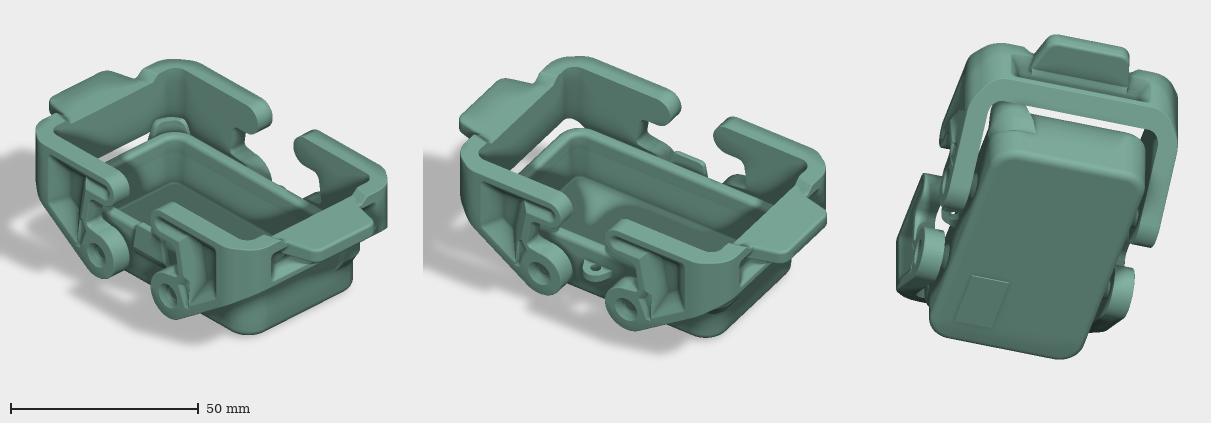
import cadquery as cq
import math

HEIGHT = 34.0
DEPTH = 58.1
HALF_SPAN = 52.5
OVERLAP = 0.3

TRAY_HALF_X = 36.5
TRAY_HALF_Y = 21.4
TRAY_CORNER = 6.9
TRAY_BOTTOM = 0.3
PARTING_Z = 12.4
RIM_Z = 17.2
TRAY_DRAFT = 1.0
BASE_ROUND = 2.1
RIM_ROUND = 1.3
WALL = 3.6
FLOOR_Z = 3.2
CAVITY_DRAFT = 4.5
CAVITY_ROUND = 0.6

PAD_X_RANGE = (10.6, 28.1)
PAD_Y_RANGE = (4.7, 15.0)

CATCH_TOP_Z = 20.2
CATCH_FOOT_Z = 9.2
CLIP_HALF_TOP = 4.8
CLIP_HALF_FOOT = 6.7
CLIP_PROJECTION = 1.7
CLIP_ROUND = 1.6
CLIP_EDGE_ROUND = 0.5
GUARD_HALF_X = 38.4
GUARD_HALF_Y = 21.9
GUARD_CORNER = 6.8
GUARD_END_X = 32.3
GUARD_END_Y = 14.4
GUARD_FLARE = 3.9
GUARD_TOP_ROUND = 1.6

EYE_Y = 22.8
EYE_RADIUS = 3.5
EYE_HOLE = 1.5
EYE_HALF_BASE = 4.6
EYE_THICKNESS = 2.1

LEVER_X = 43.6
LEVER_Y = DEPTH / 2
END_WALL = 5.0
LEG = 5.6
LEVER_CORNER_X = 7.1
LEVER_CORNER_Y = 5.0
CORNER_WALL_ROUND = 7.8
CORNER_LEG_ROUND = 6.5
LEVER_INNER_CORNER = 3.5
END_WALL_FOOT_Z = 20.6
LEVER_EDGE_ROUND = 0.3
PIVOT_X = 13.9
PIVOT_Z = 8.4
PIVOT_RADIUS = 6.9
HOOK_X = 11.2
HOOK_RADIUS = 4.4
THROAT_TOP_X = 16.5
THROAT_FOOT_X = 17.8
THROAT_FOOT_Z = 16.1
THROAT_TOP_ROUND = 2.3
THROAT_FOOT_ROUND = 1.3

STUD_BASE_RADIUS = 3.7
STUD_TIP_RADIUS = 2.5
STUD_TIP_LENGTH = 0.5
PIN_HOLE_RADIUS = 2.3
PIN_HOLE_DEPTH = 2.6
PIN_HOLE_CHAMFER = 1.3
PIN_HOLE_FLOOR_ROUND = 0.3

POCKET_DRAFT = 45.0
LEG_POCKET_DRAFT = 50.0
LEG_POCKET_DEPTH = 3.9
HOOK_POCKET_DEPTH = 1.7
TAIL_POCKET_DEPTH = 1.0
POCKET_TOP_Z = 31.9
FIELD_CORNERS = [
    (-32.5, POCKET_TOP_Z), (-17.2, POCKET_TOP_Z), (-21.4, 8.5), (-32.5, 16.1),
]
TAIL_CORNERS = [(-22.6, 16.8), (-19.5, 17.3), (-17.7, 13.9), (-20.2, 7.9), (-21.7, 7.9)]
POCKET_CORNER = 2.1
POCKET_FLOOR_ROUND = 0.8
POCKET_RIM_ROUND = 0.6
HOOK_POCKET_HEIGHT = 4.6
HOOK_POCKET_END_X = 8.7
HOOK_POCKET_START_X = 24.2
END_POCKET_HALF_Y = 19.3
END_POCKET_Z_RANGE = (22.0, 30.9)
END_POCKET_DEPTH = 2.8

TAB_TOP_Z = 32.2
TAB_TIP_Z = 28.0
TAB_ROOT_Z = 27.4
TAB_HALF_ROOT = 13.1
TAB_SLOPE = 0.25
TAB_CORNER = 3.2
TAB_ROUND = 0.8
NOTCH_CLEARANCE = 0.5
NOTCH_RUN = 2.1
NOTCH_ROUND = 1.0
GUSSET_SIZE = 1.6


def rounded_block(half_x, half_y, radius, z_low, z_high):
    block = cq.Workplane("XY").workplane(offset=z_low)
    block = block.rect(2 * half_x, 2 * half_y).extrude(z_high - z_low)
    return block.edges("|Z").fillet(radius)


def tray_outline(inset, radius):
    width = 2 * (TRAY_HALF_X - inset)
    depth = 2 * (TRAY_HALF_Y - inset)
    return cq.Sketch().rect(width, depth).vertices().fillet(radius)


def tray_shell():
    upper = rounded_block(TRAY_HALF_X, TRAY_HALF_Y, TRAY_CORNER, PARTING_Z, RIM_Z)
    lower = (
        cq.Workplane("XY").workplane(offset=PARTING_Z)
        .placeSketch(tray_outline(0, TRAY_CORNER))
        .extrude(-(PARTING_Z - TRAY_BOTTOM), taper=TRAY_DRAFT)
    )
    lower = lower.faces("<Z").edges().fillet(BASE_ROUND)
    cavity = (
        cq.Workplane("XY").workplane(offset=RIM_Z)
        .placeSketch(tray_outline(WALL, TRAY_CORNER - WALL))
        .extrude(-(RIM_Z - PARTING_Z))
    )
    cavity_base = (
        cq.Workplane("XY").workplane(offset=PARTING_Z)
        .placeSketch(tray_outline(WALL, TRAY_CORNER - WALL))
        .extrude(-(PARTING_Z - FLOOR_Z), taper=CAVITY_DRAFT)
    )
    cavity_base = cavity_base.faces("<Z").edges().fillet(CAVITY_ROUND)
    shell = upper.union(lower).cut(cavity).cut(cavity_base)
    return shell.faces(">Z").edges().fillet(RIM_ROUND)


def bottom_pad():
    x_low, x_high = PAD_X_RANGE
    y_low, y_high = PAD_Y_RANGE
    return cq.Workplane("XY").box(
        x_high - x_low, y_high - y_low, TRAY_BOTTOM + OVERLAP, centered=False
    ).translate((x_low, y_low, 0))


def front_clip():
    """Tapered plate on the -Y wall with a sloping underside."""
    y_inner = -TRAY_HALF_Y + OVERLAP
    y_outer = -TRAY_HALF_Y - CLIP_PROJECTION
    face = (
        cq.Workplane("XZ").workplane(offset=-y_inner)
        .polyline([
            (-CLIP_HALF_FOOT, CATCH_FOOT_Z),
            (CLIP_HALF_FOOT, CATCH_FOOT_Z),
            (CLIP_HALF_TOP, CATCH_TOP_Z),
            (-CLIP_HALF_TOP, CATCH_TOP_Z),
        ]).close()
        .extrude(y_inner - y_outer)
    )
    face = face.faces(">Z").edges("|Y").fillet(CLIP_ROUND)
    face = face.faces("<Y").edges("not <Z").fillet(CLIP_EDGE_ROUND)
    section = (
        cq.Workplane("YZ")
        .polyline([
            (y_inner, CATCH_FOOT_Z),
            (-TRAY_HALF_Y, CATCH_FOOT_Z),
            (y_outer, PARTING_Z),
            (y_outer, CATCH_TOP_Z),
            (-TRAY_HALF_Y, CATCH_TOP_Z),
            (-TRAY_HALF_Y, RIM_Z - RIM_ROUND),
            (y_inner, RIM_Z - RIM_ROUND),
        ]).close()
        .extrude(CLIP_HALF_FOOT, both=True)
    )
    return face.intersect(section)


def guard_window(plane, end, far):
    """Outline that trims one end of the guard: sloping edge with a rounded top."""
    foot = end + math.copysign(GUARD_FLARE, end - far)
    shoulder = end + math.copysign(GUARD_TOP_ROUND, far - end)
    return (
        cq.Workplane(plane)
        .moveTo(far, CATCH_TOP_Z).lineTo(far, CATCH_FOOT_Z).lineTo(foot, CATCH_FOOT_Z)
        .lineTo(end, CATCH_TOP_Z - GUARD_TOP_ROUND)
        .tangentArcPoint((shoulder, CATCH_TOP_Z), relative=False).close()
    )


def corner_guard():
    """Upright collar around the -X +Y corner, flaring in to the wall at its foot."""
    straight = rounded_block(GUARD_HALF_X, GUARD_HALF_Y, GUARD_CORNER, PARTING_Z, CATCH_TOP_Z)
    foot_drop = PARTING_Z - CATCH_FOOT_Z
    foot_draft = math.degrees(math.atan2(GUARD_HALF_X - TRAY_HALF_X, foot_drop))
    foot = (
        straight.faces("<Z").wires().toPending()
        .workplane().extrude(foot_drop, taper=foot_draft, combine=False)
    )
    bore = rounded_block(TRAY_HALF_X, TRAY_HALF_Y, TRAY_CORNER, RIM_Z - RIM_ROUND, CATCH_TOP_Z)
    core = rounded_block(
        TRAY_HALF_X - OVERLAP, TRAY_HALF_Y - OVERLAP, TRAY_CORNER - OVERLAP,
        CATCH_FOOT_Z, RIM_Z,
    )
    collar = straight.union(foot).cut(bore).cut(core)
    side_window = guard_window("YZ", GUARD_END_Y, GUARD_HALF_Y).extrude(-GUARD_HALF_X)
    end_window = guard_window("XZ", -GUARD_END_X, -GUARD_HALF_X).extrude(-GUARD_HALF_Y)
    return collar.intersect(side_window).intersect(end_window)


def eyelet():
    """Flat lug on the +Y wall with sides tangent to its rounded end."""
    y_base = TRAY_HALF_Y - OVERLAP
    reach = math.hypot(EYE_HALF_BASE, EYE_Y - y_base)
    bearing = math.atan2(EYE_Y - y_base, EYE_HALF_BASE)
    tangent = math.acos(EYE_RADIUS / reach) - bearing
    x_tangent = EYE_RADIUS * math.cos(tangent)
    y_tangent = EYE_Y + EYE_RADIUS * math.sin(tangent)
    return (
        cq.Workplane("XY").workplane(offset=PARTING_Z - EYE_THICKNESS)
        .moveTo(-EYE_HALF_BASE, y_base).lineTo(EYE_HALF_BASE, y_base)
        .lineTo(x_tangent, y_tangent)
        .threePointArc((0, EYE_Y + EYE_RADIUS), (-x_tangent, y_tangent)).close()
        .pushPoints([(0, EYE_Y)]).circle(EYE_HOLE)
        .extrude(EYE_THICKNESS)
    )


def lever_side_profile():
    """Side outline of the -X lever: end wall, hook, throat and pivot eye."""
    dx = LEVER_X - PIVOT_X
    dz = END_WALL_FOOT_Z - PIVOT_Z
    tangent = math.atan2(dz, -dx) + math.acos(PIVOT_RADIUS / math.hypot(dx, dz))
    x_tangent = -PIVOT_X + PIVOT_RADIUS * math.cos(tangent)
    z_tangent = PIVOT_Z + PIVOT_RADIUS * math.sin(tangent)
    hook_low_z = HEIGHT - 2 * HOOK_RADIUS
    profile = (
        cq.Workplane("XZ")
        .moveTo(-LEVER_X, HEIGHT).lineTo(-HOOK_X, HEIGHT)
        .threePointArc((-HOOK_X + HOOK_RADIUS, HEIGHT - HOOK_RADIUS), (-HOOK_X, hook_low_z))
        .lineTo(-THROAT_TOP_X, hook_low_z)
        .lineTo(-THROAT_FOOT_X, THROAT_FOOT_Z)
        .lineTo(-PIVOT_X, PIVOT_Z + PIVOT_RADIUS)
        .threePointArc((-PIVOT_X + PIVOT_RADIUS, PIVOT_Z), (x_tangent, z_tangent))
        .lineTo(-LEVER_X, END_WALL_FOOT_Z).close()
        .extrude(LEVER_Y, both=True)
    )
    for x, z, radius in (
        (-THROAT_TOP_X, hook_low_z, THROAT_TOP_ROUND),
        (-THROAT_FOOT_X, THROAT_FOOT_Z, THROAT_FOOT_ROUND),
    ):
        profile = profile.edges(cq.NearestToPointSelector((x, 0, z))).fillet(radius)
    return profile


def lever_plan():
    """Plan outline of the lever: each corner is a straight cut with a round at either end."""
    wall_end_y = LEVER_Y - LEVER_CORNER_Y
    leg_end_x = -LEVER_X + LEVER_CORNER_X
    plan = (
        cq.Workplane("XY")
        .polyline([
            (0, -LEVER_Y), (leg_end_x, -LEVER_Y), (-LEVER_X, -wall_end_y),
            (-LEVER_X, wall_end_y), (leg_end_x, LEVER_Y), (0, LEVER_Y),
        ]).close()
        .extrude(HEIGHT)
    )
    plan = plan.edges("|Z").edges("<X").fillet(CORNER_WALL_ROUND)
    for y in (-LEVER_Y, LEVER_Y):
        corner_edge = cq.NearestToPointSelector((leg_end_x, y, HEIGHT / 2))
        plan = plan.edges(corner_edge).fillet(CORNER_LEG_ROUND)
    return plan


def tab_half_width(x):
    return TAB_HALF_ROOT + TAB_SLOPE * (x + LEVER_X)


def handle_tab():
    x_inner = -LEVER_X + END_WALL
    tip, root = tab_half_width(-HALF_SPAN), tab_half_width(x_inner)
    plan = (
        cq.Workplane("XY").workplane(offset=TAB_ROOT_Z)
        .polyline([(-HALF_SPAN, -tip), (x_inner, -root), (x_inner, root), (-HALF_SPAN, tip)])
        .close()
        .extrude(TAB_TOP_Z - TAB_ROOT_Z)
        .edges("|Z").edges("<X").fillet(TAB_CORNER)
    )
    side = (
        cq.Workplane("XZ")
        .polyline([
            (-HALF_SPAN, TAB_TOP_Z), (-HALF_SPAN, TAB_TIP_Z),
            (x_inner, TAB_ROOT_Z), (x_inner, TAB_TOP_Z),
        ]).close()
        .extrude(LEVER_Y, both=True)
    )
    tab = plan.intersect(side)
    return tab.faces("<X").edges("not |Z").fillet(TAB_ROUND)


def tab_gusset():
    """Sloping strip between the underside of the tab and the floor of the end pocket."""
    x_floor = -LEVER_X + END_POCKET_DEPTH
    z_tab = TAB_ROOT_Z + OVERLAP
    return (
        cq.Workplane("XZ")
        .polyline([
            (x_floor - GUSSET_SIZE, z_tab), (x_floor, TAB_ROOT_Z - GUSSET_SIZE),
            (x_floor + OVERLAP, TAB_ROOT_Z - GUSSET_SIZE), (x_floor + OVERLAP, z_tab),
        ]).close()
        .extrude(TAB_HALF_ROOT, both=True)
    )


def tab_notch():
    """Cut that lowers the end wall to the tab, with flanks following the tab sides."""
    x_inner = -LEVER_X + END_WALL

    def outline(widening):
        inner = tab_half_width(x_inner) + widening
        outer = tab_half_width(-LEVER_X) + widening
        return [(-LEVER_X, -outer), (x_inner, -inner), (x_inner, inner), (-LEVER_X, outer)]

    notch = (
        cq.Workplane("XY").workplane(offset=TAB_TOP_Z).polyline(outline(NOTCH_CLEARANCE)).close()
        .workplane(offset=HEIGHT - TAB_TOP_Z).polyline(outline(NOTCH_CLEARANCE + NOTCH_RUN)).close()
        .loft(ruled=True)
    )
    return notch.faces("<Z").edges("not |Y").fillet(NOTCH_ROUND)


def end_pocket():
    z_low, z_high = END_POCKET_Z_RANGE
    pocket = (
        cq.Workplane("YZ", origin=(-LEVER_X, 0, (z_low + z_high) / 2))
        .rect(2 * END_POCKET_HALF_Y, z_high - z_low)
        .extrude(END_POCKET_DEPTH, taper=POCKET_DRAFT)
    )
    pocket = pocket.edges("not #X").fillet(POCKET_CORNER)
    return pocket.faces(">X").edges().fillet(POCKET_FLOOR_ROUND)


def leg_pocket():
    """Recess in the -Y leg: a deep field, a groove into the hook and a tail by the pivot."""
    plane = cq.Workplane("XZ", origin=(0, -LEVER_Y, 0))
    field = (
        plane.polyline(FIELD_CORNERS).close()
        .extrude(-LEG_POCKET_DEPTH, taper=LEG_POCKET_DRAFT)
    )
    field = field.edges("not #Y").edges("<X").fillet(POCKET_CORNER)
    field = field.faces(">Y").edges().fillet(POCKET_FLOOR_ROUND)
    groove_x = (HOOK_POCKET_START_X + HOOK_POCKET_END_X) / -2
    groove_centre = (groove_x, POCKET_TOP_Z - HOOK_POCKET_HEIGHT / 2)
    groove = (
        plane.pushPoints([groove_centre])
        .slot2D(HOOK_POCKET_START_X - HOOK_POCKET_END_X, HOOK_POCKET_HEIGHT)
        .extrude(-HOOK_POCKET_DEPTH, taper=LEG_POCKET_DRAFT)
    )
    tail = (
        plane.polyline(TAIL_CORNERS).close()
        .extrude(-TAIL_POCKET_DEPTH, taper=LEG_POCKET_DRAFT)
    )
    return field.union(groove).union(tail)


def pivot_recess():
    """Countersunk blind hole in the -Y leg that shows the end of the pivot pin."""
    hole = (
        cq.Workplane("XZ", origin=(-PIVOT_X, -LEVER_Y, PIVOT_Z))
        .circle(PIN_HOLE_RADIUS).extrude(-PIN_HOLE_DEPTH)
    )
    hole = hole.faces(">Y").edges().fillet(PIN_HOLE_FLOOR_ROUND)
    sink = (
        cq.Workplane("XZ", origin=(-PIVOT_X, -LEVER_Y, PIVOT_Z))
        .circle(PIN_HOLE_RADIUS + PIN_HOLE_CHAMFER)
        .extrude(-PIN_HOLE_CHAMFER, taper=POCKET_DRAFT)
    )
    return hole.union(sink)


def pivot_stud():
    """Conical stud that joins the -Y wall of the tray to the lever."""
    length = LEVER_Y - LEG - TRAY_HALF_Y
    cone_length = length - STUD_TIP_LENGTH
    draft = math.degrees(math.atan2(STUD_BASE_RADIUS - STUD_TIP_RADIUS, cone_length))
    cone = (
        cq.Workplane("XZ", origin=(-PIVOT_X, -TRAY_HALF_Y, PIVOT_Z))
        .circle(STUD_BASE_RADIUS).extrude(cone_length, taper=draft)
    )
    core = (
        cq.Workplane("XZ", origin=(-PIVOT_X, -TRAY_HALF_Y + 2 * OVERLAP, PIVOT_Z))
        .circle(STUD_TIP_RADIUS).extrude(length + 3 * OVERLAP)
    )
    root = (
        cq.Workplane("XZ", origin=(-PIVOT_X, -TRAY_HALF_Y, PIVOT_Z))
        .circle(STUD_BASE_RADIUS).extrude(-2 * OVERLAP)
    )
    return cone.union(core).union(root)


def round_pocket_rim(body, face):
    """Round the longest inner outline of a face, which is the mouth of its pocket."""
    rim = max(body.faces(face).val().innerWires(), key=lambda wire: wire.Length())
    return body.newObject(rim.Edges()).fillet(POCKET_RIM_ROUND)


def lever():
    """Complete -X lever with its two legs, studs and handle tab."""
    inner = rounded_block(LEVER_X - END_WALL, LEVER_Y - LEG, LEVER_INNER_CORNER, 0, HEIGHT)
    body = lever_side_profile().intersect(lever_plan())
    body = body.cut(inner).cut(tab_notch())
    for side in (-1, 1):
        crest = side * (TAB_HALF_ROOT + NOTCH_CLEARANCE + NOTCH_RUN)
        crest_edge = cq.NearestToPointSelector((-LEVER_X + END_WALL / 2, crest, HEIGHT))
        body = body.edges(crest_edge).fillet(NOTCH_ROUND)
    body = body.faces("<Y or >Y").edges().fillet(LEVER_EDGE_ROUND)
    body = round_pocket_rim(body.cut(end_pocket()), "<X")
    leg_cuts = leg_pocket().union(pivot_recess())
    stud = pivot_stud()
    body = round_pocket_rim(body.cut(leg_cuts), "<Y")
    body = round_pocket_rim(body.cut(leg_cuts.mirror("XZ")), ">Y")
    return body.union(handle_tab()).union(tab_gusset()).union(stud).union(stud.mirror("XZ"))


result = tray_shell().union(bottom_pad()).union(front_clip()).union(eyelet())
for fitting in (corner_guard(), lever()):
    result = result.union(fitting).union(fitting.mirror("YZ"))